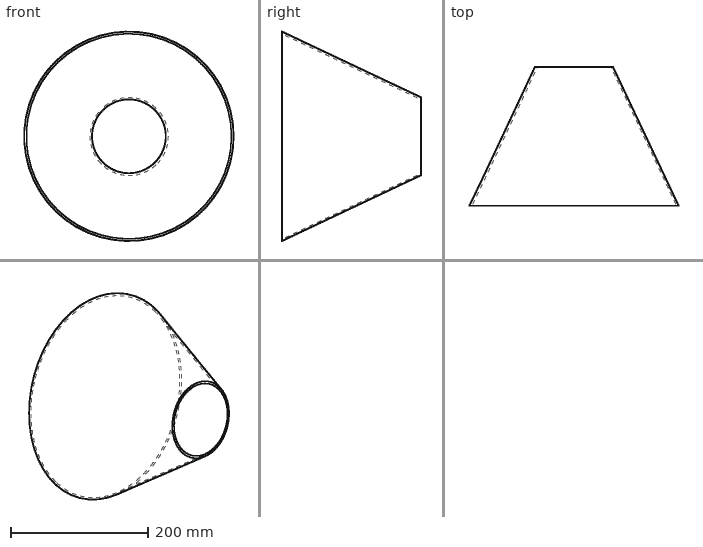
import cadquery as cq

large_diameter = 306.0
small_diameter = 114.0
length = 203.0
radial_wall = 3.5

large_radius = large_diameter / 2
small_radius = small_diameter / 2

wall_section = (
    cq.Workplane("XY")
    .moveTo(large_radius - radial_wall, 0)
    .lineTo(large_radius, 0)
    .lineTo(small_radius, length)
    .lineTo(small_radius - radial_wall, length)
    .close()
)

result = wall_section.revolve(360, (0, 0, 0), (0, 1, 0))